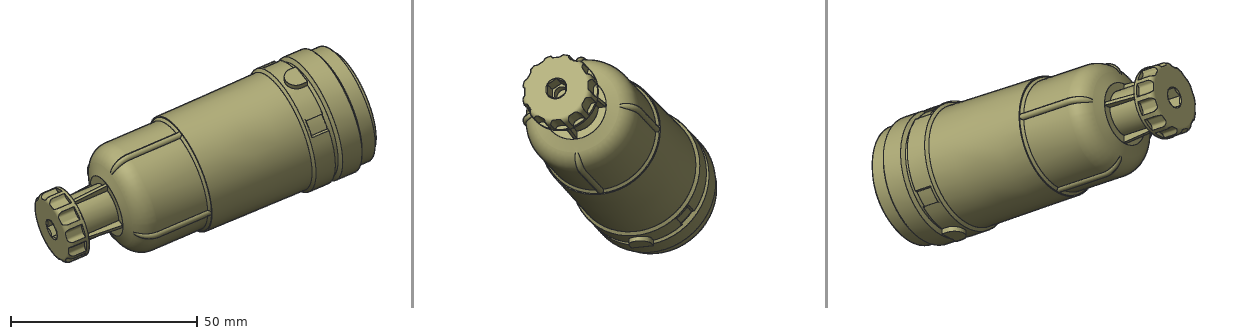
import cadquery as cq
import math


spigot_end = 1.4
collar_start = 5.4
collar_chamfer_length = 0.7
collar_end = 12.9
flange_start = 14.4
flange_end = 21.2
flange_chamfer_length = 0.7
sleeve_end = 52.0
shoulder_end = 52.7
dome_start = 68.1
barrel_end = 85.0

spigot_dia = 30.0
neck_dia = 33.6
collar_dia = 36.0
sleeve_start_dia = 34.2
sleeve_end_dia = 33.6
shoulder_dia = 32.9
bowl_dia = 31.5
dome_base_dia = 17.5
barrel_dia = 13.1

dome_radius = 6.0
dome_cone_slope = 22.0

lug_width = 6.3
lug_straight = 1.8
lug_height = 38.5
notch_length = 5.15
notch_low = 10.6
notch_high = 14.1
notch_floor_dia = 34.8

rib_count = 4
bowl_rib_radius = 1.0
bowl_rib_offset = 15.55
bowl_rib_bend = 4.8
bowl_rib_bend_start = 68.0
barrel_rib_width = 0.9
barrel_rib_base_dia = 17.1
barrel_rib_tip_dia = 15.3

knob_start = 86.0
knob_rim_end = 86.9
knob_end = 92.0
knob_neck_dia = 8.0
knob_dia = 20.0
knob_end_round = 1.5
flute_count = 12
flute_floor_dia = 17.8
flute_floor_width = 2.2
flute_mouth_width = 4.2
flute_fillet = 0.9
flute_overcut = 0.9
socket_corner_dia = 5.9
socket_depth = 4.6
drain_dia = 4.0


def revolved(half_profile):
    """Turn a closed half profile in the XY plane a full turn about the Y axis."""
    return half_profile.close().revolve(360, (0, 0, 0), (0, 1, 0))


def disc(diameter, start, end):
    """Round bar between two stations."""
    return cq.Workplane("XZ", origin=(0, -start, 0)).circle(diameter / 2).extrude(end - start)


def around_axis(shape, count):
    """Equally spaced copies of a shape about the Y axis."""
    return [shape.rotate((0, 0, 0), (0, 1, 0), i * 360 / count) for i in range(count)]


def housing_core():
    collar_r = collar_dia / 2
    bowl_r = bowl_dia / 2
    neck_r = neck_dia / 2
    turn = math.radians(90 - dome_cone_slope)
    arc_centre_r = bowl_r - dome_radius

    def dome_point(angle):
        return (arc_centre_r + dome_radius * math.cos(angle),
                -dome_start - dome_radius * math.sin(angle))

    arc_end_r, arc_end_y = dome_point(turn)
    cone_drop = (arc_end_r - dome_base_dia / 2) * math.tan(math.radians(dome_cone_slope))
    dome_base_y = arc_end_y - cone_drop

    profile = (
        cq.Workplane("XY")
        .lineTo(spigot_dia / 2, 0)
        .lineTo(spigot_dia / 2, -spigot_end)
        .lineTo(neck_r, -spigot_end)
        .lineTo(neck_r, -collar_start)
        .lineTo(collar_r, -collar_start - collar_chamfer_length)
        .lineTo(collar_r, -collar_end + collar_chamfer_length)
        .lineTo(neck_r, -collar_end)
        .lineTo(neck_r, -flange_start)
        .lineTo(collar_r, -flange_start)
        .lineTo(collar_r, -flange_end + flange_chamfer_length)
        .lineTo(sleeve_start_dia / 2, -flange_end)
        .lineTo(sleeve_end_dia / 2, -sleeve_end)
        .lineTo(shoulder_dia / 2, -sleeve_end)
        .lineTo(bowl_r, -shoulder_end)
        .lineTo(bowl_r, -dome_start)
        .threePointArc(dome_point(turn / 2), (arc_end_r, arc_end_y))
        .lineTo(dome_base_dia / 2, dome_base_y)
        .lineTo(barrel_dia / 2, dome_base_y)
        .lineTo(barrel_dia / 2, -barrel_end)
        .lineTo(0, -barrel_end)
    )
    return revolved(profile), -dome_base_y


def lugs():
    """One D-shaped bar right across the flange; its two ends are the lugs."""
    half = lug_width / 2
    centre_y = -flange_start - lug_straight
    return (
        cq.Workplane("XY", origin=(0, 0, -lug_height / 2))
        .moveTo(-half, -flange_start)
        .lineTo(-half, centre_y)
        .threePointArc((0, centre_y - half), (half, centre_y))
        .lineTo(half, -flange_start)
        .close()
        .extrude(lug_height)
    )


def flange_notches():
    """Four shallow notches, open to the rear, with level sides and a round floor."""
    ring = disc(2 * collar_dia, flange_start, flange_start + notch_length).cut(
        disc(notch_floor_dia, flange_start, flange_start + notch_length))
    band = cq.Workplane("XY").box(
        2 * collar_dia, notch_length, notch_high - notch_low
    ).translate((0, -flange_start - notch_length / 2, (notch_low + notch_high) / 2))
    upper = ring.intersect(band)
    return upper, upper.mirror("XY")


def bowl_rib():
    """Round rib along the bowl that bends in and sinks into the dome."""
    path = (
        cq.Workplane("XY")
        .moveTo(bowl_rib_offset, -sleeve_end)
        .lineTo(bowl_rib_offset, -bowl_rib_bend_start)
        .radiusArc((bowl_rib_offset - bowl_rib_bend, -bowl_rib_bend_start - bowl_rib_bend), bowl_rib_bend)
    )
    section = cq.Workplane("XZ", origin=(bowl_rib_offset, -sleeve_end, 0)).circle(bowl_rib_radius)
    return section.sweep(path)


def barrel_rib(base):
    """Thin tapered web along the barrel."""
    return (
        cq.Workplane("XY")
        .moveTo(0, -base)
        .lineTo(barrel_rib_base_dia / 2, -base)
        .lineTo(barrel_rib_tip_dia / 2, -barrel_end)
        .lineTo(0, -barrel_end)
        .close()
        .extrude(barrel_rib_width / 2, both=True)
    )


def make_housing():
    body, barrel_start = housing_core()
    body = body.union(lugs())
    for notch in flange_notches():
        body = body.cut(notch)
    for rib in around_axis(bowl_rib(), rib_count):
        body = body.union(rib)
    for rib in around_axis(barrel_rib(barrel_start), rib_count):
        body = body.union(rib)
    return body


def flute():
    """Grip groove: flat floor, flared sides and rounded floor corners."""
    floor_r = flute_floor_dia / 2
    rim_r = knob_dia / 2
    flare = (flute_mouth_width - flute_floor_width) / 2 / (rim_r - floor_r)
    outer_r = rim_r + flute_overcut
    outer_half = flute_floor_width / 2 + flare * (outer_r - floor_r)
    return (
        cq.Workplane("XZ", origin=(0, -knob_rim_end, 0))
        .moveTo(-flute_floor_width / 2, floor_r)
        .lineTo(flute_floor_width / 2, floor_r)
        .lineTo(outer_half, outer_r)
        .lineTo(-outer_half, outer_r)
        .close()
        .extrude(knob_end - knob_rim_end)
        .faces("<Z")
        .edges("|Y")
        .fillet(flute_fillet)
    )


def hexagon_socket():
    """Hexagon sunk into the end face, corners at +Z and -Z, with a 45 degree round countersink."""
    mouth_r = socket_corner_dia / 2
    socket = (
        cq.Workplane("XZ", origin=(0, -knob_end + socket_depth, 0))
        .transformed(rotate=(0, 0, 90))
        .polygon(6, socket_corner_dia)
        .extrude(socket_depth)
    )
    countersink = revolved(
        cq.Workplane("XY")
        .moveTo(0, -knob_end + mouth_r)
        .lineTo(mouth_r, -knob_end)
        .lineTo(0, -knob_end)
    )
    return socket.union(countersink)


def make_knob():
    knob = revolved(
        cq.Workplane("XY")
        .moveTo(0, -barrel_end)
        .lineTo(knob_neck_dia / 2, -barrel_end)
        .lineTo(knob_neck_dia / 2, -knob_start)
        .lineTo(knob_dia / 2, -knob_start)
        .lineTo(knob_dia / 2, -knob_end + knob_end_round)
        .radiusArc((knob_dia / 2 - knob_end_round, -knob_end), knob_end_round)
        .lineTo(0, -knob_end)
    )
    for groove in around_axis(flute(), flute_count):
        knob = knob.cut(groove)
    return knob.cut(hexagon_socket()).cut(disc(drain_dia, barrel_end, knob_end))


housing = make_housing()
knob = make_knob()

result = cq.Compound.makeCompound([housing.val(), knob.val()])